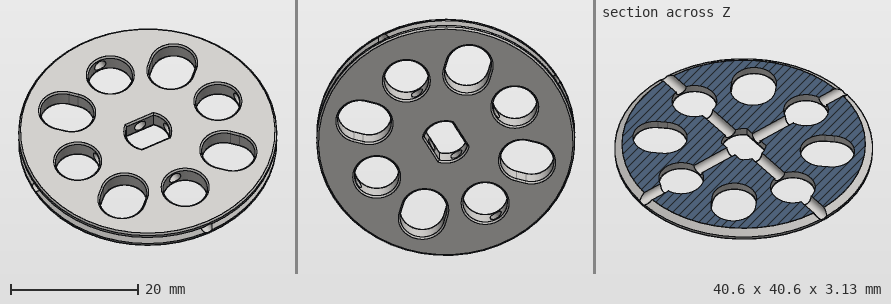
import cadquery as cq
import math

disc_diameter = 40.6
thickness = 3.13
edge_chamfer = 0.3
chamfer_angle = 45

groove_width = 1.6
groove_depth = 1.15

opening_diameter = 7.0
opening_pitch_radius = 12.5
slot_center_travel = 1.5
bore_width = 5.08
openings_per_kind = 4

cross_hole_diameter = 2.0

disc_radius = disc_diameter / 2
half_thickness = thickness / 2
opening_radius = opening_diameter / 2


def grooved_disc():
    """Disc centred on the origin, revolved from its half section."""
    return (
        cq.Workplane("XZ")
        .moveTo(0, -half_thickness)
        .lineTo(disc_radius - edge_chamfer, -half_thickness)
        .lineTo(disc_radius, -half_thickness + edge_chamfer)
        .lineTo(disc_radius, -groove_width / 2)
        .lineTo(disc_radius - groove_depth, 0)
        .lineTo(disc_radius, groove_width / 2)
        .lineTo(disc_radius, half_thickness - edge_chamfer)
        .lineTo(disc_radius - edge_chamfer, half_thickness)
        .lineTo(0, half_thickness)
        .close()
        .revolve(360, (0, 0, 0), (0, 1, 0))
    )


def chamfered_cutter(outline):
    """Cutter through the disc that flares out at both faces.

    outline(growth) gives the closed opening outline, offset outward by growth, on the bottom face.
    """
    straight = outline(0).extrude(thickness)
    flare = outline(edge_chamfer).extrude(edge_chamfer, taper=chamfer_angle)
    return straight.union(flare).union(flare.mirror("XY"))


def bottom_plane():
    return cq.Workplane("XY").workplane(offset=-half_thickness)


def round_outline(growth):
    return bottom_plane().center(opening_pitch_radius, 0).circle(opening_radius + growth)


def slot_outline(growth):
    slot_center = opening_pitch_radius + slot_center_travel / 2
    slot_diameter = opening_diameter + 2 * growth
    return bottom_plane().center(slot_center, 0).slot2D(slot_center_travel + slot_diameter, slot_diameter)


def bore_outline(growth):
    """Round bore with two flats facing -X and +X."""
    radius = opening_radius + growth
    flat_x = bore_width / 2 + growth
    flat_end_y = math.sqrt(radius**2 - flat_x**2)
    return (
        bottom_plane()
        .moveTo(flat_x, -flat_end_y)
        .lineTo(flat_x, flat_end_y)
        .threePointArc((0, radius), (-flat_x, flat_end_y))
        .lineTo(-flat_x, -flat_end_y)
        .threePointArc((0, -radius), (flat_x, -flat_end_y))
        .close()
    )


def cross_hole(plane):
    """Drill through the whole disc, with its seam turned away from the groove edge."""
    return (
        cq.Workplane(plane)
        .transformed(rotate=(0, 0, 90))
        .circle(cross_hole_diameter / 2)
        .extrude(disc_diameter, both=True)
    )


result = grooved_disc()

for plane in ("YZ", "XZ"):
    result = result.cut(cross_hole(plane))

result = result.cut(chamfered_cutter(bore_outline))

round_cutter = chamfered_cutter(round_outline)
slot_cutter = chamfered_cutter(slot_outline)
opening_step = 360 / openings_per_kind
for index in range(openings_per_kind):
    angle = index * opening_step
    result = result.cut(round_cutter.rotate((0, 0, 0), (0, 0, 1), angle))
    result = result.cut(slot_cutter.rotate((0, 0, 0), (0, 0, 1), angle + opening_step / 2))